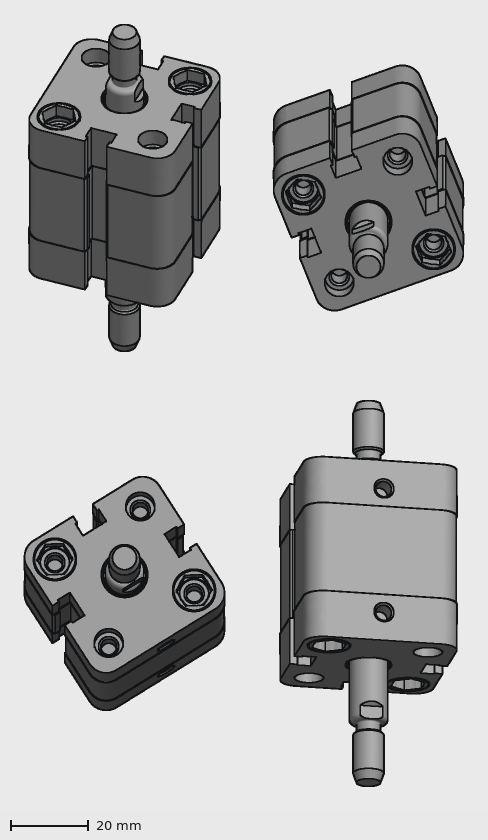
import cadquery as cq
import math


cap_width = 40.3
cap_face_width = 40.15
barrel_width = 40.0
corner_radius = 5.1
barrel_length = 24.0
cap_length = 12.5
cap_face_z = barrel_length / 2 + cap_length
cap_draft = math.degrees(math.atan((cap_width - cap_face_width) / 2 / cap_length))

slot_depth = 5.75
slot_lip = 2.1
cap_slot_width = 7.1
barrel_slot_width = 6.7
cap_slot_mouth = 6.0
barrel_slot_mouth = 5.3
barrel_mouth_chamfer = 0.6
slot_angles = (0, 90, 270)

thread_diameter = 4.13
thread_countersink = 5.2
thread_depth = 6.0
port_from_face = 7.65
port_depth = 6.0
port_overshoot = 1.0

corner_hole_offset = 13.0
corner_bore_diameter = 7.5
corner_bore_depth = 4.6
groove_outer_diameter = 11.1
groove_inner_diameter = 10.48
groove_depth = 0.5
socket_across_flats = 8.0
socket_bore_diameter = 8.2
socket_depth = 3.5

recess_diameter = 12.0
recess_chamfer = 0.3
recess_depth = 0.6
recess_step_diameter = 10.9
recess_step_depth = 1.2

rod_diameter = 10.0
upper_reach = 6.0
lower_reach = 16.0
upper_shoulder_z = cap_face_z + upper_reach
lower_shoulder_z = -cap_face_z - lower_reach
shoulder_round = 1.2
flat_spacing = 8.0
flat_length = 3.5
stud_diameter = 8.0
stud_length = 16.0
stud_tip_diameter = 6.2
stud_tip_length = 2.5
stud_back_chamfer = 0.5
neck_diameter = 6.2
neck_length = 2.6
neck_round = 0.3


def rounded_square(width, length, draft=0.0):
    """Square bar with rounded corners, from z = 0 up, narrowing by the draft angle."""
    outline = cq.Sketch().rect(width, width).vertices().fillet(corner_radius)
    return cq.Workplane("XY").placeSketch(outline).extrude(length, taper=draft)


def slot_cutter(width, slot_width, mouth, length, mouth_chamfer=0.0):
    """T-slot cutters for the slotted sides, with an optional bevel at the mouth."""
    outer = width / 2
    floor = outer - slot_depth
    lip = outer - slot_lip
    flare = mouth / 2 + mouth_chamfer
    upper_half = [(floor, slot_width / 2), (lip, slot_width / 2), (lip, mouth / 2)]
    if mouth_chamfer:
        upper_half.append((outer - mouth_chamfer, mouth / 2))
    upper_half.append((outer, flare))
    lower_half = [(x, -y) for x, y in reversed(upper_half)]
    single = cq.Workplane("XY").polyline(upper_half + lower_half).close().extrude(length)
    cutters = cq.Workplane("XY")
    for angle in slot_angles:
        cutters = cutters.add(single.rotate((0, 0, 0), (0, 0, 1), angle))
    return cutters.combine()


def cone(lower_diameter, upper_diameter, height):
    """Frustum on the Z axis, from z = 0 up."""
    profile = [(0, 0), (lower_diameter / 2, 0), (upper_diameter / 2, height), (0, height)]
    return cq.Workplane("XZ").polyline(profile).close().revolve(360, (0, 0), (0, 1))


def cylinder(diameter, height):
    """Cylinder on the Z axis, from z = 0 up."""
    return cq.Workplane("XY").circle(diameter / 2).extrude(height)


def threaded_hole(depth):
    """Cutter for a countersunk M5 hole that opens at z = 0 and runs down."""
    sink = (thread_countersink - thread_diameter) / 2
    mouth = cone(thread_diameter, thread_countersink, sink).translate((0, 0, -sink))
    return cylinder(thread_diameter, depth).translate((0, 0, -depth)).union(mouth)


def corner_bore():
    """Cutter for a plain corner bore with an M5 hole in its floor, opening at z = 0."""
    bore = cylinder(corner_bore_diameter, corner_bore_depth)
    thread = threaded_hole(thread_depth)
    return bore.union(thread).translate((0, 0, -corner_bore_depth))


def socket_bore():
    """Cutter for a corner bore that starts as a hexagon socket inside a narrow ring groove."""
    groove = cylinder(groove_outer_diameter, groove_depth).cut(cylinder(groove_inner_diameter, groove_depth))
    groove = groove.translate((0, 0, -groove_depth))
    across_corners = socket_across_flats / math.cos(math.pi / 6)
    socket = cq.Workplane("XY").polygon(6, across_corners).extrude(-socket_depth)
    relief = cylinder(socket_bore_diameter, socket_depth).translate((0, 0, -socket_depth))
    return corner_bore().union(socket).union(relief).union(groove)


def rod_recess():
    """Cutter for the stepped recess round the rod, opening at z = 0."""
    inner = recess_diameter - 2 * recess_chamfer
    bevel = cone(inner, recess_diameter, recess_chamfer).translate((0, 0, -recess_chamfer))
    wide = cylinder(inner, recess_depth).translate((0, 0, -recess_depth))
    narrow = cylinder(recess_step_diameter, recess_step_depth).translate((0, 0, -recess_step_depth))
    return bevel.union(wide).union(narrow)


def make_barrel():
    body = rounded_square(barrel_width, barrel_length)
    slots = slot_cutter(
        barrel_width, barrel_slot_width, barrel_slot_mouth, barrel_length, barrel_mouth_chamfer
    )
    body = body.cut(slots)
    body = body.cut(cylinder(rod_diameter, barrel_length))
    return body.translate((0, 0, -barrel_length / 2))


def make_cap():
    """Upper cap; its outer face lies at z = cap_face_z."""
    body = rounded_square(cap_width, cap_length, cap_draft)
    body = body.cut(slot_cutter(cap_width, cap_slot_width, cap_slot_mouth, cap_length))
    body = body.cut(cylinder(rod_diameter, cap_length))
    body = body.cut(rod_recess().translate((0, 0, cap_length)))
    for x_side in (-1, 1):
        for y_side in (-1, 1):
            hole = socket_bore() if x_side == y_side else corner_bore()
            place = (x_side * corner_hole_offset, y_side * corner_hole_offset, cap_length)
            body = body.cut(hole.translate(place))
    port_z = cap_length - port_from_face
    port_plane_x = cap_width / 2 - port_z * math.tan(math.radians(cap_draft))
    port_mouth = cylinder(thread_countersink, port_overshoot)
    port = threaded_hole(port_depth).union(port_mouth).rotate((0, 0, 0), (0, 1, 0), -90)
    body = body.cut(port.translate((-port_plane_x, 0, port_z)))
    return body.translate((0, 0, barrel_length / 2))


def stud():
    """Stud with an undercut neck, standing on a shoulder at z = 0."""
    body_start = neck_length + stud_back_chamfer
    tip_start = stud_length - stud_tip_length
    neck_radius = neck_diameter / 2
    arc_mid = neck_round * (1 - math.sqrt(0.5))
    profile = (
        cq.Workplane("XZ")
        .lineTo(neck_radius + neck_round, 0)
        .threePointArc((neck_radius + arc_mid, arc_mid), (neck_radius, neck_round))
        .lineTo(neck_radius, neck_length - neck_round)
        .threePointArc(
            (neck_radius + arc_mid, neck_length - arc_mid),
            (neck_radius + neck_round, neck_length),
        )
        .lineTo(stud_diameter / 2 - stud_back_chamfer, neck_length)
        .lineTo(stud_diameter / 2, body_start)
        .lineTo(stud_diameter / 2, tip_start)
        .lineTo(stud_tip_diameter / 2, stud_length)
        .lineTo(0, stud_length)
        .close()
    )
    return profile.revolve(360, (0, 0), (0, 1))


def wrench_flats():
    """Cutters for two opposite flats below a shoulder at z = 0, each ending in a 45 degree slope."""
    inner = flat_spacing / 2
    reach = rod_diameter
    slope = reach - inner
    profile = [(inner, 0), (reach, 0), (reach, -flat_length - slope), (inner, -flat_length)]
    one = cq.Workplane("XZ").polyline(profile).close().extrude(reach, both=True)
    return one.union(one.mirror("YZ"))


def make_rod():
    body = cylinder(rod_diameter, upper_shoulder_z - lower_shoulder_z)
    body = body.edges().fillet(shoulder_round).translate((0, 0, lower_shoulder_z))
    for shoulder_z, turn in ((upper_shoulder_z, 0), (lower_shoulder_z, 180)):
        flats = wrench_flats().rotate((0, 0, 0), (1, 0, 0), turn)
        end = stud().rotate((0, 0, 0), (1, 0, 0), turn)
        body = body.cut(flats.translate((0, 0, shoulder_z)))
        body = body.union(end.translate((0, 0, shoulder_z)))
    return body


barrel = make_barrel()
rod = make_rod()
caps = [make_cap().rotate((0, 0, 0), (1, 0, 0), turn) for turn in (0, 180)]

result = cq.Compound.makeCompound([barrel.val(), *[cap.val() for cap in caps], rod.val()])